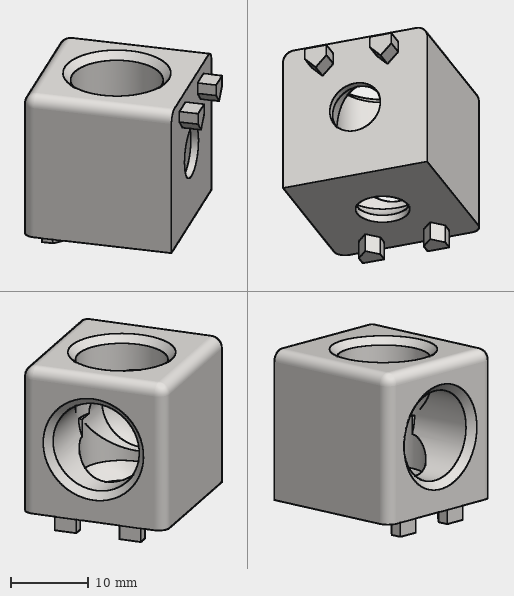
import cadquery as cq
import math

overall = 22.5
body_side = 20.0
edge_radius = 1.5
bore_diameter = 12.0
mouth_chamfer = 1.0
seat_diameter = 11.0
exit_diameter = 7.0
seat_ball_radius = 6.5
peg_width = 3.0
peg_pitch = 9.0
peg_inset = 1.55

half = body_side / 2
bore_radius = bore_diameter / 2
seat_radius = seat_diameter / 2
exit_radius = exit_diameter / 2
peg_length = overall - body_side


def make_body():
    """Cube centred on the origin, rounded on the -X and +Z edges that carry no pegs."""
    block = cq.Workplane("XY").box(body_side, body_side, body_side)
    return block.edges("<X and |Z or >Z and |X or (<X and >Z)").fillet(edge_radius)


def seat_ball_height(radius):
    """Z on the lower half of the seat ball, at a given radius from the passage axis."""
    ball_centre = seat_ball_radius - half
    return ball_centre - math.sqrt(seat_ball_radius**2 - radius**2)


def make_passage():
    """Flared bore from +Z to the cube centre, then a round-bottomed seat and an exit hole."""
    middle_radius = (seat_radius + exit_radius) / 2
    return (
        cq.Workplane("XZ")
        .moveTo(0, half)
        .lineTo(bore_radius + mouth_chamfer, half)
        .lineTo(bore_radius, half - mouth_chamfer)
        .lineTo(bore_radius, 0)
        .lineTo(seat_radius, 0)
        .lineTo(seat_radius, seat_ball_height(seat_radius))
        .threePointArc(
            (middle_radius, seat_ball_height(middle_radius)),
            (exit_radius, seat_ball_height(exit_radius)),
        )
        .lineTo(exit_radius, -half)
        .lineTo(0, -half)
        .close()
        .revolve(360, (0, 0, 0), (0, 1, 0))
    )


def make_side_peg(y):
    """Peg on the +X face: square upper half, with a pointed lower half."""
    top = half - peg_inset
    shoulder = top - peg_width / 2
    profile = [
        (y - peg_width / 2, top),
        (y + peg_width / 2, top),
        (y + peg_width / 2, shoulder),
        (y, top - peg_width),
        (y - peg_width / 2, shoulder),
    ]
    return cq.Workplane("YZ", origin=(half, 0, 0)).polyline(profile).close().extrude(peg_length)


def make_bottom_peg(y):
    """Peg on the -Z face: the side peg turned so that its point faces +X."""
    return make_side_peg(-y).rotate((0, 0, 0), (1, 0, -1), 180)


passage_from_top = make_passage()
passage_from_side = passage_from_top.rotate((0, 0, 0), (0, 1, 0), -90)
result = make_body().cut(passage_from_top).cut(passage_from_side)
for peg_y in (-peg_pitch / 2, peg_pitch / 2):
    result = result.union(make_side_peg(peg_y)).union(make_bottom_peg(peg_y))